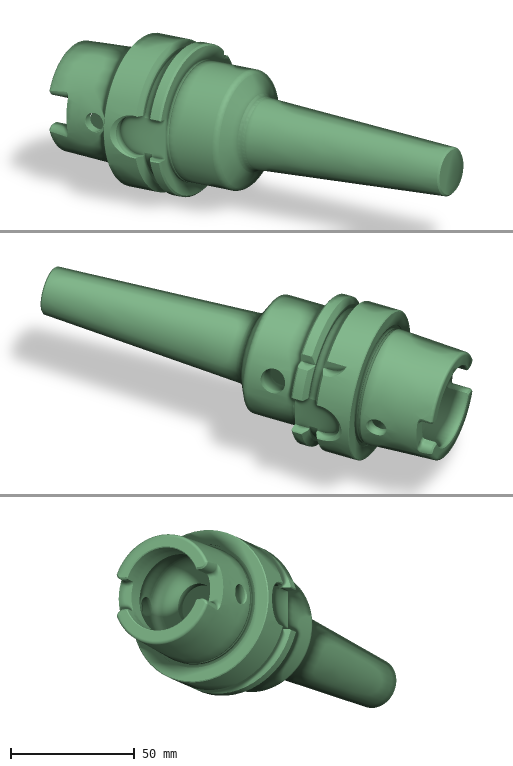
import cadquery as cq
import math

length = 177.0
flange_start = 32.0
flange_end = 58.0

taper_root_radius = 24.2
taper_slope = 1 / 20
taper_end = 30.1
taper_end_chamfer = 0.5
relief_radius = 23.7
relief_end = 31.5
land_radius = 24.0
face_recess_radius = 25.5
face_recess_depth = 0.5
mouth_radius = taper_root_radius - taper_slope * taper_end
mouth_rounding = 1.2

flange_radius = 31.5
flange_edge_chamfer = 0.4
flange_back_chamfer = 0.7
groove_radius = 27.0
groove_start = 48.1
groove_end = 51.7
groove_bevel_length = 1.6
groove_bevel_depth = groove_bevel_length * math.tan(math.radians(60))

collar_end = 59.1
collar_radius = 25.3
body_radius = 25.0
shoulder_start = 81.0
shoulder_end = 86.9
neck_radius = 14.9
nose_radius = 10.1
shoulder_rounding = 2.7
neck_rounding = 3.0
nose_chamfer = 0.7

bore_radius = 17.2
bore_rim_chamfer = 0.4
bore_lip = 12.7
clamp_radius = 19.8
clamp_end = 25.5
cavity_floor_rounding = 3.9
recess_radius = 8.7
recess_depth = 3.5
pilot_radius = 2.1
pilot_depth = 5.3
drill_tip_angle = 118.0

keyways = [(-1, 9.7), (1, 6.0)]
keyway_half_width = 6.2
keyway_ledge = 21.0
keyway_lip_radius = 3.0
keyway_mouth_chamfer = 0.7
keyway_floor_fillet = 1.5

cross_hole_position = 23.0
cross_hole_radius = 4.0
cross_hole_bevel_start = 23.5
screw_hole_position = 68.9
screw_hole_radius = 5.3
screw_hole_depth = 10.6
screw_hole_tilt = 20.0

slot_half_width = 8.7
slot_round_center = 45.7
slot_floor = 26.0
slot_bevel_start = 29.7
slot_bevel_overshoot = 0.4

notch_wall = 19.8
notch_floor = 20.4
notch_runout_start = 45.0
notch_cutter_radius = 8.0


def revolve_about_x(points):
    """Solid of revolution about X from (x, radius) points."""
    return cq.Workplane("XY").polyline(points).close().revolve(360, (0, 0, 0), (1, 0, 0))


def rim_at(x):
    """Selector for circular edges centred on the tool axis at x."""
    reach = 0.09
    return cq.selectors.BoxSelector((x - reach, -reach, -reach), (x + reach, reach, reach))


def make_body():
    bevel_radius = flange_radius - groove_bevel_depth
    recess_floor = flange_start + face_recess_depth
    body = revolve_about_x([
        (0, 0),
        (0, mouth_radius),
        (taper_end, taper_root_radius),
        (taper_end + taper_end_chamfer, relief_radius),
        (relief_end, relief_radius),
        (relief_end, land_radius),
        (recess_floor, land_radius),
        (recess_floor, face_recess_radius),
        (flange_start, face_recess_radius),
        (flange_start, flange_radius - flange_edge_chamfer),
        (flange_start + flange_edge_chamfer, flange_radius),
        (groove_start - groove_bevel_length, flange_radius),
        (groove_start, bevel_radius),
        (groove_start, groove_radius),
        (groove_end, groove_radius),
        (groove_end, bevel_radius),
        (groove_end + groove_bevel_length, flange_radius),
        (flange_end - flange_back_chamfer, flange_radius),
        (flange_end, flange_radius - flange_back_chamfer),
        (flange_end, collar_radius),
        (collar_end, collar_radius),
        (collar_end, body_radius),
        (shoulder_start, body_radius),
        (shoulder_end, neck_radius),
        (length, nose_radius),
        (length, 0),
    ])
    body = body.edges(rim_at(0)).fillet(mouth_rounding)
    body = body.edges(rim_at(shoulder_start)).fillet(shoulder_rounding)
    body = body.edges(rim_at(shoulder_end)).fillet(neck_rounding)
    return body.edges(rim_at(length)).chamfer(nose_chamfer)


def make_cavity():
    """Bore, wider clamping chamber with a rounded floor, shallow recess and drilled pilot."""
    cavity_depth = clamp_end + cavity_floor_rounding
    recess_end = cavity_depth + recess_depth
    pilot_end = recess_end + pilot_depth
    tip_length = pilot_radius / math.tan(math.radians(drill_tip_angle / 2))
    cavity = revolve_about_x([
        (0, 0),
        (0, bore_radius + bore_rim_chamfer),
        (bore_rim_chamfer, bore_radius),
        (bore_lip, bore_radius),
        (bore_lip, clamp_radius),
        (cavity_depth, clamp_radius),
        (cavity_depth, recess_radius),
        (recess_end, recess_radius),
        (recess_end, pilot_radius),
        (pilot_end, pilot_radius),
        (pilot_end + tip_length, 0),
    ])
    floor_rim = cq.selectors.RadiusNthSelector(-1)
    return cavity.edges(rim_at(cavity_depth)).edges(floor_rim).fillet(cavity_floor_rounding)


def keyway_profile(side, growth):
    """Keyway cross-section in the YZ plane, widened outwards by growth.

    A narrow passage opens through rounded lips onto a ledge below the taper surface.
    """
    half_width = keyway_half_width + growth
    ledge = keyway_ledge - growth
    lip = keyway_lip_radius - growth
    lip_mid = lip * (1 - math.sqrt(0.5))
    outside = flange_radius
    return (
        cq.Workplane("YZ")
        .moveTo(0, -half_width)
        .lineTo(side * (ledge - lip), -half_width)
        .threePointArc((side * (ledge - lip_mid), -half_width - lip_mid), (side * ledge, -half_width - lip))
        .lineTo(side * ledge, -outside)
        .lineTo(side * outside, -outside)
        .lineTo(side * outside, outside)
        .lineTo(side * ledge, outside)
        .lineTo(side * ledge, half_width + lip)
        .threePointArc((side * (ledge - lip_mid), half_width + lip_mid), (side * (ledge - lip), half_width))
        .lineTo(0, half_width)
        .close()
    )


def make_keyway(side, depth):
    keyway = keyway_profile(side, 0).extrude(depth)
    keyway = keyway.faces(">X").edges().fillet(keyway_floor_fillet)
    mouth_bevel = cq.Solid.makeLoft(
        [
            keyway_profile(side, keyway_mouth_chamfer).val(),
            keyway_profile(side, 0).val().translate(cq.Vector(keyway_mouth_chamfer, 0, 0)),
        ],
        True,
    )
    return keyway.union(cq.Workplane(mouth_bevel))


def make_gripper_slot():
    """Round-ended slot on the +Y side, open towards the nose, with a bevelled rim."""
    def outline(y):
        return (
            cq.Workplane("XZ", origin=(0, y, 0))
            .moveTo(flange_end, -slot_half_width)
            .lineTo(slot_round_center, -slot_half_width)
            .threePointArc((slot_round_center - slot_half_width, 0), (slot_round_center, slot_half_width))
            .lineTo(flange_end, slot_half_width)
            .close()
        )
    bevel_height = flange_radius - slot_bevel_start + slot_bevel_overshoot
    slot = outline(slot_floor).extrude(slot_floor - flange_radius)
    return slot.union(outline(slot_bevel_start).extrude(-bevel_height, taper=-45))


def make_notch():
    cutter_axis = notch_floor + notch_cutter_radius
    run = notch_cutter_radius * math.sqrt(0.5)
    return (
        cq.Workplane("XZ", origin=(0, notch_wall, 0))
        .moveTo(flange_end, notch_floor)
        .lineTo(notch_runout_start, notch_floor)
        .threePointArc((notch_runout_start - run, cutter_axis - run),
                       (notch_runout_start - notch_cutter_radius, cutter_axis))
        .lineTo(notch_runout_start - notch_cutter_radius, flange_radius)
        .lineTo(flange_end, flange_radius)
        .close()
        .extrude(notch_wall - flange_radius)
    )


def make_cross_hole():
    """Through hole along Y, bevelled where it breaks out of the taper on both sides."""
    hole = cq.Workplane("XZ").center(cross_hole_position, 0).circle(cross_hole_radius)
    hole = hole.extrude(flange_radius, both=True)
    bevel_height = taper_root_radius - cross_hole_bevel_start
    for side in (-1, 1):
        bevel = cq.Solid.makeCone(
            cross_hole_radius,
            cross_hole_radius + bevel_height,
            bevel_height,
            cq.Vector(cross_hole_position, side * cross_hole_bevel_start, 0),
            cq.Vector(0, side, 0),
        )
        hole = hole.union(cq.Workplane(bevel))
    return hole


def make_screw_hole():
    floor = body_radius - screw_hole_depth
    hole = (
        cq.Workplane("XZ", origin=(screw_hole_position, floor, 0))
        .circle(screw_hole_radius)
        .extrude(-flange_radius)
    )
    return hole.rotate((0, 0, 0), (1, 0, 0), screw_hole_tilt)


slot_cut = make_gripper_slot()
result = make_body().cut(make_cavity()).cut(make_cross_hole()).cut(make_screw_hole())
result = result.cut(slot_cut).cut(slot_cut.mirror("XZ")).cut(make_notch())
for side, depth in keyways:
    result = result.cut(make_keyway(side, depth))